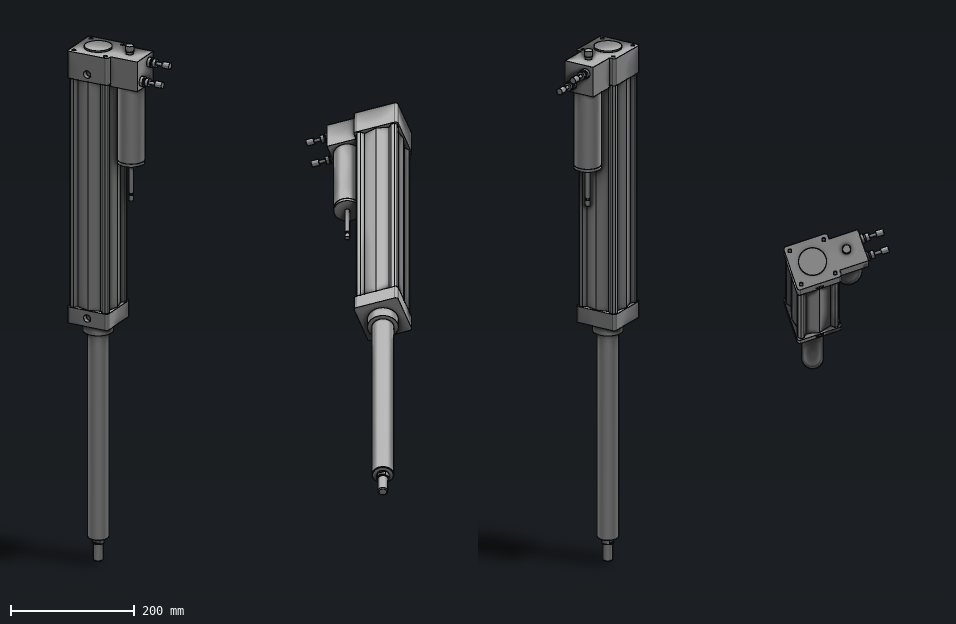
import cadquery as cq


HEAD_SIDE = 75.0
HEAD_TOP = 891.5
HEAD_BOTTOM = 844.0
CAP_TOP = 447.0
CAP_BOTTOM = 419.0
CORNER_RADIUS = 4.5

TUBE_HALF = 35.0
TUBE_CORNER_CHAMFER = 4.0
LAND_INNER = 26.0
BEVEL = 5.0

COVER_DIAMETER = 45.0
COVER_TOP = 894.0
SCREW_DIAMETER = 6.0
SCREW_DEPTH = 5.0
SCREW_OFFSET = 29.0

PORT_DIAMETER = 13.0
PORT_DEPTH = 9.0
PORT_CONE_DEPTH = 4.0
HEAD_PORT_Z = 857.0
CAP_PORT_Z = 433.0

COLLAR_DIAMETER = 50.0
COLLAR_BOTTOM = 399.5

BLOCK_LENGTH = 49.0
BLOCK_END_X = HEAD_SIDE / 2 + BLOCK_LENGTH
BLOCK_WIDTH = 54.0
BLOCK_BOTTOM = 840.0
RESERVOIR_X = 61.0
RESERVOIR_DIAMETER = 45.0
RESERVOIR_BOTTOM = 703.0
END_CAP_DIAMETER = 44.0
END_CAP_TOP = 708.5
GAUGE_DIAMETER = 8.0
GAUGE_BOTTOM = 637.0
GAUGE_GROOVE_DIAMETER = 6.0
GAUGE_GROOVE_TOP = 650.0
GAUGE_GROOVE_BOTTOM = 647.0
PLUG_X = 58.0
PLUG_DIAMETER = 14.0
PLUG_NECK_DIAMETER = 12.0
PLUG_TOP = 906.0
PLUG_HEAD_BOTTOM = 896.0

ROD_DIAMETER = 35.0
ROD_SHOULDER_Z = 41.0
ROD_CHAMFER = 1.0
NECK_DIAMETER = 20.0
FLATS_WIDTH = 14.5
FLATS_TOP = 40.0
FLATS_BOTTOM = 33.0
NECK_BOTTOM = 31.0
STUD_DIAMETER = 16.0
STUD_CHAMFER = 2.0

VALVE_STEPS = [
    (16.0, 5.0),
    (11.0, 3.0),
    (14.0, 6.0),
    (6.0, 12.0),
    (11.0, 13.0),
]
VALVE_SITES = [(13.0, 878.0), (-13.0, 853.0)]


def cylinder(diameter, bottom, top, x=0.0):
    return cq.Workplane("XY", origin=(x, 0, bottom)).circle(diameter / 2).extrude(top - bottom)


def square_block(bottom, top):
    block = cq.Workplane("XY", origin=(0, 0, bottom)).rect(HEAD_SIDE, HEAD_SIDE).extrude(top - bottom)
    return block.edges("|Z").fillet(CORNER_RADIUS)


def tube():
    corner = TUBE_HALF - TUBE_CORNER_CHAMFER
    recess_end = LAND_INNER - BEVEL
    half_side = [
        (0, -TUBE_HALF),
        (recess_end, -TUBE_HALF + BEVEL),
        (LAND_INNER, -TUBE_HALF),
        (corner, -TUBE_HALF),
    ]
    quarter = half_side + [(-y, -x) for x, y in reversed(half_side[1:])]
    outline = []
    for _ in range(4):
        outline += quarter
        quarter = [(-y, x) for x, y in quarter]
    profile = cq.Workplane("XY", origin=(0, 0, CAP_TOP)).polyline(outline).close()
    return profile.extrude(HEAD_BOTTOM - CAP_TOP)


def side_block():
    block = cq.Workplane("XY", origin=(0, 0, BLOCK_BOTTOM))
    block = block.center(BLOCK_END_X - BLOCK_LENGTH / 2, 0).rect(BLOCK_LENGTH, BLOCK_WIDTH)
    return block.extrude(HEAD_TOP - BLOCK_BOTTOM)


def front_port(z):
    radius = PORT_DIAMETER / 2
    tip = PORT_DEPTH + PORT_CONE_DEPTH
    half_section = [(0, 0), (radius, 0), (radius, PORT_DEPTH), (0, tip)]
    port = cq.Workplane("XY").polyline(half_section).close().revolve(360, (0, 0), (0, 1))
    return port.translate((0, -HEAD_SIDE / 2, z))


def cylinder_frame():
    frame = square_block(HEAD_BOTTOM, HEAD_TOP).union(tube()).union(square_block(CAP_BOTTOM, CAP_TOP))
    frame = frame.union(cylinder(COLLAR_DIAMETER, COLLAR_BOTTOM, CAP_BOTTOM))
    return frame.union(cylinder(COVER_DIAMETER, HEAD_TOP, COVER_TOP)).union(side_block())


def reservoir():
    tank = cylinder(RESERVOIR_DIAMETER, END_CAP_TOP, BLOCK_BOTTOM, RESERVOIR_X)
    return tank.union(cylinder(END_CAP_DIAMETER, RESERVOIR_BOTTOM, END_CAP_TOP, RESERVOIR_X))


def gauge_rod():
    upper = cylinder(GAUGE_DIAMETER, GAUGE_GROOVE_TOP, RESERVOIR_BOTTOM, RESERVOIR_X)
    groove = cylinder(GAUGE_GROOVE_DIAMETER, GAUGE_GROOVE_BOTTOM, GAUGE_GROOVE_TOP, RESERVOIR_X)
    tip = cylinder(GAUGE_DIAMETER, GAUGE_BOTTOM, GAUGE_GROOVE_BOTTOM, RESERVOIR_X)
    return upper.union(groove).union(tip)


def filler_plug():
    neck = cylinder(PLUG_NECK_DIAMETER, HEAD_TOP, PLUG_HEAD_BOTTOM, PLUG_X)
    return neck.union(cylinder(PLUG_DIAMETER, PLUG_HEAD_BOTTOM, PLUG_TOP, PLUG_X))


def screw_recesses():
    pattern = cq.Workplane("XY", origin=(0, 0, HEAD_TOP - SCREW_DEPTH))
    pattern = pattern.rect(2 * SCREW_OFFSET, 2 * SCREW_OFFSET, forConstruction=True).vertices()
    return pattern.circle(SCREW_DIAMETER / 2).extrude(SCREW_DEPTH)


def make_housing():
    body = cylinder_frame().union(reservoir()).union(gauge_rod()).union(filler_plug())
    body = body.cut(front_port(HEAD_PORT_Z)).cut(front_port(CAP_PORT_Z))
    return body.cut(screw_recesses())


def make_rod():
    shaft = cylinder(ROD_DIAMETER, ROD_SHOULDER_Z, COLLAR_BOTTOM).faces("<Z").chamfer(ROD_CHAMFER)
    upper_ring = cylinder(NECK_DIAMETER, FLATS_TOP, ROD_SHOULDER_Z)
    flats = cylinder(NECK_DIAMETER, FLATS_BOTTOM, FLATS_TOP)
    flats = flats.intersect(cq.Workplane("XY").box(NECK_DIAMETER, FLATS_WIDTH, 2 * FLATS_TOP))
    lower_ring = cylinder(NECK_DIAMETER, NECK_BOTTOM, FLATS_BOTTOM)
    stud = cylinder(STUD_DIAMETER, 0, NECK_BOTTOM).faces("<Z").chamfer(STUD_CHAMFER)
    return shaft.union(upper_ring).union(flats).union(lower_ring).union(stud)


def make_valve(y, z):
    start = BLOCK_END_X
    body = cq.Workplane("YZ")
    for diameter, length in VALVE_STEPS:
        step = cq.Workplane("YZ", origin=(start, y, z)).circle(diameter / 2).extrude(length)
        body = body.add(step)
        start += length
    return body.combine()


housing = make_housing()
rod = make_rod()
valves = [make_valve(y, z) for y, z in VALVE_SITES]

result = cq.Compound.makeCompound([housing.val(), rod.val(), *[valve.val() for valve in valves]])